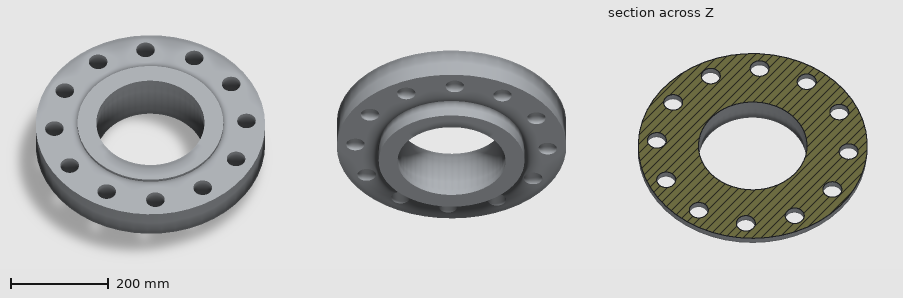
import cadquery as cq

FLANGE_DIAMETER = 469.9
FLANGE_THICKNESS = 63.5
HUB_DIAMETER = 298.45
HUB_HEIGHT = 38.1
RAISED_FACE_DIAMETER = 298.45
RAISED_FACE_HEIGHT = 6.35
BORE_DIAMETER = 221.5
BOLT_CIRCLE_DIAMETER = 393.7
BOLT_HOLE_DIAMETER = 38.1
BOLT_HOLE_COUNT = 12

flange_bottom = HUB_HEIGHT
flange_top = flange_bottom + FLANGE_THICKNESS
total_height = flange_top + RAISED_FACE_HEIGHT

first_hole_angle = 360 / BOLT_HOLE_COUNT / 2


def disc(diameter, bottom, height):
    """Solid cylinder on the flange axis, standing on the given level."""
    return cq.Workplane("XY").workplane(offset=bottom).circle(diameter / 2).extrude(height)


def make_body():
    """Flange plate with the hub below it and the raised face on top."""
    hub = disc(HUB_DIAMETER, 0, HUB_HEIGHT)
    plate = disc(FLANGE_DIAMETER, flange_bottom, FLANGE_THICKNESS)
    raised_face = disc(RAISED_FACE_DIAMETER, flange_top, RAISED_FACE_HEIGHT)
    return hub.union(plate).union(raised_face)


def make_bolt_holes():
    """Ring of cylinders that cut the bolt holes through the plate."""
    return (
        cq.Workplane("XY")
        .workplane(offset=flange_bottom)
        .polarArray(BOLT_CIRCLE_DIAMETER / 2, first_hole_angle, 360, BOLT_HOLE_COUNT)
        .circle(BOLT_HOLE_DIAMETER / 2)
        .extrude(FLANGE_THICKNESS)
    )


bore = disc(BORE_DIAMETER, 0, total_height)
result = make_body().cut(bore).cut(make_bolt_holes())